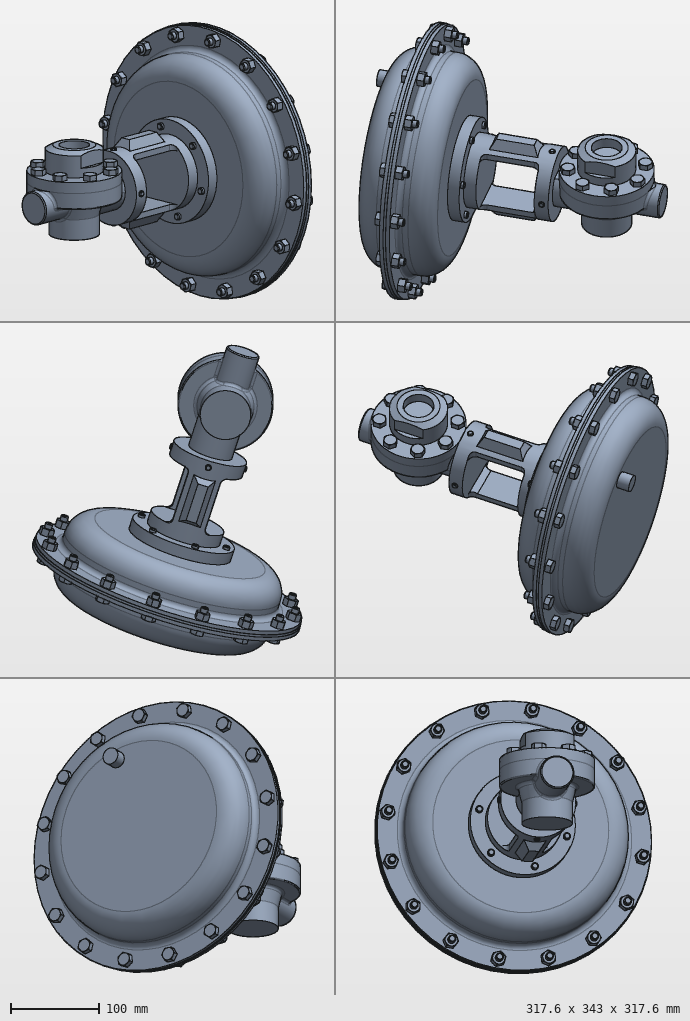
import cadquery as cq
import math


flange_radius = 158.8
lower_rim_radius = 157.8
casing_radius = 128.3
casing_back = 261.7
casing_front = 170.0
shoulder_radius = 27.0
root_radius = 6.5
flange_back = 222.3
joint_back = 217.8
joint_front = 215.0
flange_front = 210.5
joint_groove = 0.5

air_tube_radius = 9.5
air_tube_end = 276.5
air_tube_offset = 89.2
air_tube_angle = 71.4

hex_corner_diameter = 16.8
bolt_diameter = 8.5
hex_chamfer_angle = 20.0
head_height = 6.5
nut_height = 8.2
bolt_tip_length = 6.2
tip_chamfer = 1.0
flange_bolt_count = 16
flange_bolt_circle = 148.0
flange_bolt_start = 15.0
head_turn = 22.5
nut_turn = -7.5

mount_radius = 60.5
mount_front = 156.5
mount_screw_count = 6
mount_screw_circle = 52.0
mount_screw_start = 45.0
mount_screw_diameter = 8.0
mount_screw_height = 3.8

yoke_radius = 43.2
window_back = 141.5
window_front = 73.0
yoke_front = 56.5
window_half_height = 31.5
toe_height = 2.7
toe_length = 8.2
leg_half_width = 19.2
leg_fillet = 6.2
rib_center = (window_back + window_front) / 2 - 1.5
rib_top = 52.5
rib_height = 11.5
rib_base_width = 26.0
rib_base_length = 57.5
rib_top_width = 12.0
rib_top_length = 44.5
set_screw_position = 64.0
set_screw_diameter = 7.0
set_screw_height = 2.0

body_radius = 54.0
body_bottom = 0.0
body_edge_fillet = 1.5
cap_joint = 19.2
cap_top = 32.0
bonnet_radius = 25.7
plug_radius = cap_joint
plug_end = -66.5
plug_fillet = 3.8
plug_chamfer = 1.5
throat_fillet = 3.8
throat_radius = 32.2
port_radius = 28.65
port_top = -18.5
port_bottom = -42.5

cap_screw_count = 8
cap_screw_circle = 44.3
cap_screw_start = 22.5
boss_radius = 33.0
boss_top = 61.7
boss_rim_radius = 24.5
boss_chamfer_height = 4.0
boss_flat_distance = 27.8
boss_flat_bottom = 43.0
bore_radius = 17.32
bore_depth = 12.0


def disc(radius, start, end, x=0, z=0):
    """Cylinder along Y between two Y positions."""
    base = cq.Workplane("XZ", origin=(0, start, 0)).center(x, z)
    return base.circle(radius).extrude(start - end)


def post(radius, bottom, top):
    """Cylinder along Z centred on the valve axis."""
    return cq.Workplane("XY").workplane(offset=bottom).circle(radius).extrude(top - bottom)


def around_y(shape, count, start_angle):
    """Copies of a shape spaced evenly around the actuator axis."""
    ring = cq.Workplane("XZ")
    for index in range(count):
        angle = start_angle + index * 360 / count
        ring = ring.add(shape.rotate((0, 0, 0), (0, -1, 0), angle))
    return ring


def hex_prism(height, turn=0):
    """Hexagon standing on the XY plane with the corners of its top face chamfered."""
    corner_radius = hex_corner_diameter / 2
    chamfer_width = corner_radius * (1 - math.cos(math.radians(30)))
    chamfer_height = chamfer_width * math.tan(math.radians(hex_chamfer_angle))
    envelope = cq.Workplane("XY").circle(corner_radius).extrude(height)
    envelope = envelope.faces(">Z").chamfer(chamfer_height, chamfer_width)
    prism = cq.Workplane("XY").polygon(6, hex_corner_diameter).extrude(height)
    return prism.rotate((0, 0, 0), (0, 0, 1), turn).intersect(envelope)


def make_casing():
    shoulder_mid = shoulder_radius * (1 - math.sqrt(0.5))
    root_mid = root_radius * (1 - math.sqrt(0.5))
    wall, root = casing_radius, casing_radius + root_radius
    flat = casing_radius - shoulder_radius
    profile = (
        cq.Workplane("XY")
        .moveTo(0, casing_front)
        .lineTo(flat, casing_front)
        .threePointArc(
            (wall - shoulder_mid, casing_front + shoulder_mid),
            (wall, casing_front + shoulder_radius),
        )
        .lineTo(wall, flange_front - root_radius)
        .threePointArc((wall + root_mid, flange_front - root_mid), (root, flange_front))
        .lineTo(lower_rim_radius, flange_front)
        .lineTo(lower_rim_radius, joint_front)
        .lineTo(flange_radius - joint_groove, joint_front)
        .lineTo(flange_radius - joint_groove, joint_back)
        .lineTo(flange_radius, joint_back)
        .lineTo(flange_radius, flange_back)
        .lineTo(root, flange_back)
        .threePointArc((wall + root_mid, flange_back + root_mid), (wall, flange_back + root_radius))
        .lineTo(wall, casing_back - shoulder_radius)
        .threePointArc(
            (wall - shoulder_mid, casing_back - shoulder_mid),
            (flat, casing_back),
        )
        .lineTo(0, casing_back)
        .close()
    )
    casing = profile.revolve(360, (0, 0, 0), (0, 1, 0))
    angle = math.radians(air_tube_angle)
    air_tube = disc(
        air_tube_radius,
        casing_back - 3.5,
        air_tube_end,
        air_tube_offset * math.cos(angle),
        air_tube_offset * math.sin(angle),
    )
    return casing.union(air_tube)


def make_flange_bolts():
    nut_front = flange_front - nut_height
    head = hex_prism(head_height, head_turn).rotate((0, 0, 0), (1, 0, 0), -90)
    head = head.translate((flange_bolt_circle, flange_back, 0))
    nut = hex_prism(nut_height, nut_turn).rotate((0, 0, 0), (1, 0, 0), 90)
    nut = nut.translate((flange_bolt_circle, flange_front, 0))
    tip = disc(bolt_diameter / 2, nut_front, nut_front - bolt_tip_length, flange_bolt_circle)
    tip = tip.faces("<Y").chamfer(tip_chamfer)
    bolt_side = nut.union(tip)
    heads = around_y(head, flange_bolt_count, flange_bolt_start)
    return heads.add(around_y(bolt_side, flange_bolt_count, flange_bolt_start))


def make_mount():
    screw = disc(
        mount_screw_diameter / 2, mount_front, mount_front - mount_screw_height, mount_screw_circle
    )
    screw = screw.faces("<Y").chamfer(tip_chamfer)
    plate = disc(mount_radius, casing_front, mount_front)
    return plate.union(around_y(screw, mount_screw_count, mount_screw_start))


def make_rib():
    taper = cq.Workplane("XY", origin=(0, rib_center, rib_top - rib_height))
    taper = taper.rect(rib_base_width, rib_base_length)
    taper = taper.workplane(offset=rib_height).rect(rib_top_width, rib_top_length).loft()
    foot_bottom = window_half_height + 3.5
    foot = cq.Workplane("XY", origin=(0, rib_center, foot_bottom))
    foot = foot.rect(rib_base_width, rib_base_length).extrude(rib_top - rib_height - foot_bottom)
    return taper.union(foot)


def make_yoke():
    window_length = window_back - window_front
    window_center = (window_back + window_front) / 2
    yoke = disc(yoke_radius, mount_front, yoke_front)
    toe_top = window_half_height - toe_height
    window = (
        cq.Workplane("YZ", origin=(-yoke_radius, 0, 0))
        .moveTo(window_back, window_half_height)
        .lineTo(window_front + toe_length, window_half_height)
        .lineTo(window_front, toe_top)
        .lineTo(window_front, -toe_top)
        .lineTo(window_front + toe_length, -window_half_height)
        .lineTo(window_back, -window_half_height)
        .close()
        .extrude(2 * yoke_radius)
    )
    yoke = yoke.cut(window)
    for side in (-1, 1):
        side_cut = cq.Workplane("XY", origin=(side * (leg_half_width + yoke_radius), window_center, 0))
        side_cut = side_cut.box(2 * yoke_radius, window_length, 2 * yoke_radius)
        inner_side = "<X" if side > 0 else ">X"
        yoke = yoke.cut(side_cut.faces(inner_side).edges("|Z").fillet(leg_fillet))
    rib = make_rib()
    yoke = yoke.union(rib).union(rib.mirror("XY"))

    screw_tip = yoke_radius + set_screw_height
    screw = cq.Workplane("XY", origin=(0, set_screw_position, yoke_radius - 3.5))
    screw = screw.circle(set_screw_diameter / 2).extrude(screw_tip - yoke_radius + 3.5)
    screw = screw.faces(">Z").chamfer(tip_chamfer)
    return yoke.union(around_y(screw, 4, 0))


def make_body():
    fillet_mid = throat_fillet * (1 - math.sqrt(0.5))
    throat_top = body_bottom - throat_fillet
    profile = (
        cq.Workplane("XZ")
        .moveTo(0, port_bottom)
        .lineTo(port_radius, port_bottom)
        .lineTo(port_radius, port_top)
        .lineTo(throat_radius, throat_top)
        .threePointArc(
            (throat_radius + fillet_mid, body_bottom - fillet_mid),
            (throat_radius + throat_fillet, body_bottom),
        )
        .lineTo(body_radius, body_bottom)
        .lineTo(body_radius, cap_top)
        .lineTo(0, cap_top)
        .close()
    )
    body = profile.revolve(360, (0, 0, 0), (0, 1, 0))
    outer_edge = cq.selectors.RadiusNthSelector(-1)
    body = body.faces("<Z[1]").edges(outer_edge).fillet(body_edge_fillet)
    above_joint = cq.Workplane("XY").box(
        2 * body_radius, 4 * body_radius, body_radius, centered=(True, True, False)
    )
    bonnet = disc(bonnet_radius, yoke_front, 0)
    plug = disc(plug_radius, 0, plug_end).faces("<Y").chamfer(plug_chamfer)
    body = body.union(plug)
    seam = cq.selectors.BoxSelector(
        (-plug_radius - 0.5, -body_radius - 0.5, -plug_radius - 0.5),
        (plug_radius + 0.5, -port_radius / 2, plug_radius + 0.5),
    )
    body = body.edges(seam).edges("not %CIRCLE").fillet(plug_fillet)
    return body.union(bonnet).cut(above_joint.translate((0, 0, cap_joint)))


def make_cap():
    cap = post(body_radius, cap_joint, cap_top)
    boss = post(boss_radius, cap_top, boss_top)
    boss = boss.faces(">Z").chamfer(boss_chamfer_height, boss_radius - boss_rim_radius)
    flat_height = boss_top - boss_flat_bottom
    for side in (-1, 1):
        flat = cq.Workplane("XY", origin=(side * 2 * boss_flat_distance, 0, boss_flat_bottom))
        boss = boss.cut(
            flat.box(
                2 * boss_flat_distance, 2 * boss_radius, flat_height, centered=(True, True, False)
            )
        )
    boss = boss.faces(">Z").workplane(origin=(0, 0, boss_top)).circle(bore_radius).cutBlind(-bore_depth)
    cap = cap.union(boss)
    head = hex_prism(head_height, -cap_screw_start).translate((cap_screw_circle, 0, cap_top))
    for index in range(cap_screw_count):
        angle = cap_screw_start + index * 360 / cap_screw_count
        cap = cap.union(head.rotate((0, 0, 0), (0, 0, 1), angle))
    return cap


result = make_casing()
for fastener in make_flange_bolts().vals():
    result = result.union(cq.Workplane(fastener))
for part in (make_mount(), make_yoke(), make_body(), make_cap()):
    result = result.union(part)